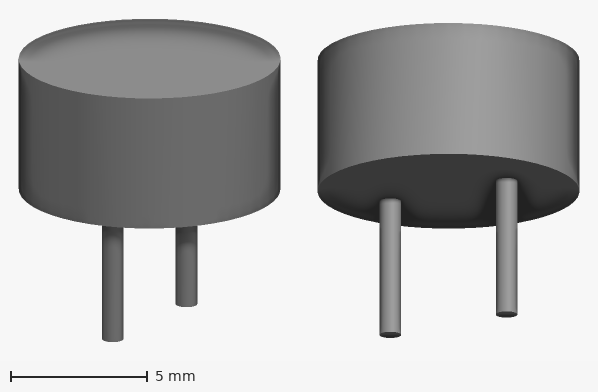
import cadquery as cq

total_height = 10.1
housing_diameter = 9.6
housing_height = 5.0

pin_diameter = 0.8
pin_spacing = 5.0
pin_length = total_height - housing_height


def make_housing():
    """Plain round housing standing on the plane Z = 0."""
    return cq.Workplane("XY").circle(housing_diameter / 2).extrude(housing_height)


def make_pin(y_center):
    """Round pin hanging down from the underside of the housing."""
    return cq.Workplane("XY").center(0, y_center).circle(pin_diameter / 2).extrude(-pin_length)


housing = make_housing()

pins = []
for side in (-1, 1):
    pins.append(make_pin(side * pin_spacing / 2))

result = cq.Compound.makeCompound([housing.val(), *[pin.val() for pin in pins]])